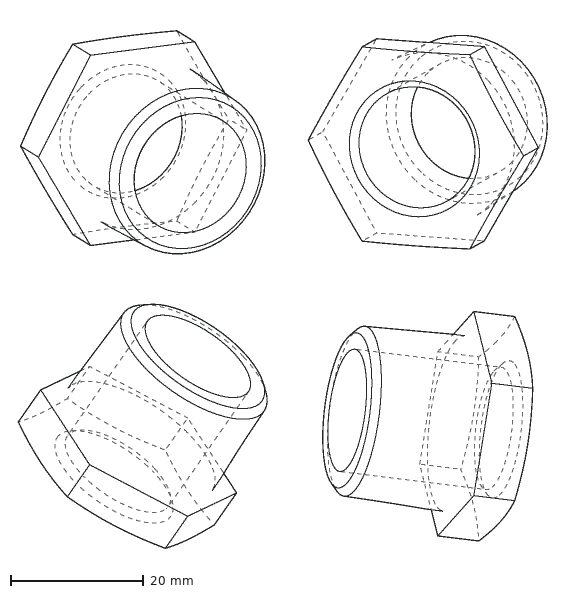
import cadquery as cq
import math

across_corners = 34.65
head_length = 7.2
head_face_diameter = 29.6
head_chamfer_angle = 15.0

total_length = 24.5
spigot_diameter = 26.75
taper_start = 10.05
taper_ratio = 1 / 16
tip_chamfer = 1.15
root_fillet = 0.3

bore_diameter = 18.65
countersink_diameter = 20.92


def hex_head():
    """Hexagonal prism along X, corners on Y, with its front corners turned off by a cone."""
    prism = (
        cq.Workplane("YZ")
        .polygon(6, across_corners)
        .extrude(head_length)
    )
    face_radius = head_face_diameter / 2
    slope = math.tan(math.radians(head_chamfer_angle))
    rear_radius = face_radius + head_length / slope
    turning_cone = (
        cq.Workplane("XZ")
        .polyline([(0, 0), (0, face_radius), (head_length, rear_radius), (head_length, 0)])
        .close()
        .revolve(360, (0, 0), (1, 0))
    )
    return prism.intersect(turning_cone)


def spigot():
    """Turned spigot behind the head, with a root fillet, a taper and a chamfered tip."""
    radius = spigot_diameter / 2
    tip_start = total_length - tip_chamfer
    taper_end_radius = radius - (tip_start - taper_start) * taper_ratio / 2
    fillet_centre = (head_length + root_fillet, radius + root_fillet)
    fillet_reach = root_fillet * math.sqrt(0.5)
    fillet_middle = (fillet_centre[0] - fillet_reach, fillet_centre[1] - fillet_reach)
    return (
        cq.Workplane("XZ")
        .moveTo(head_length, 0)
        .lineTo(head_length, radius + root_fillet)
        .threePointArc(fillet_middle, (head_length + root_fillet, radius))
        .lineTo(taper_start, radius)
        .lineTo(tip_start, taper_end_radius)
        .lineTo(total_length, taper_end_radius - tip_chamfer)
        .lineTo(total_length, 0)
        .close()
        .revolve(360, (0, 0), (1, 0))
    )


def bore():
    """Through bore with a 45 degree countersink at the head face."""
    radius = bore_diameter / 2
    sink_radius = countersink_diameter / 2
    sink_depth = sink_radius - radius
    return (
        cq.Workplane("XZ")
        .polyline([
            (0, 0),
            (0, sink_radius),
            (sink_depth, radius),
            (total_length, radius),
            (total_length, 0),
        ])
        .close()
        .revolve(360, (0, 0), (1, 0))
    )


result = hex_head().union(spigot()).cut(bore())